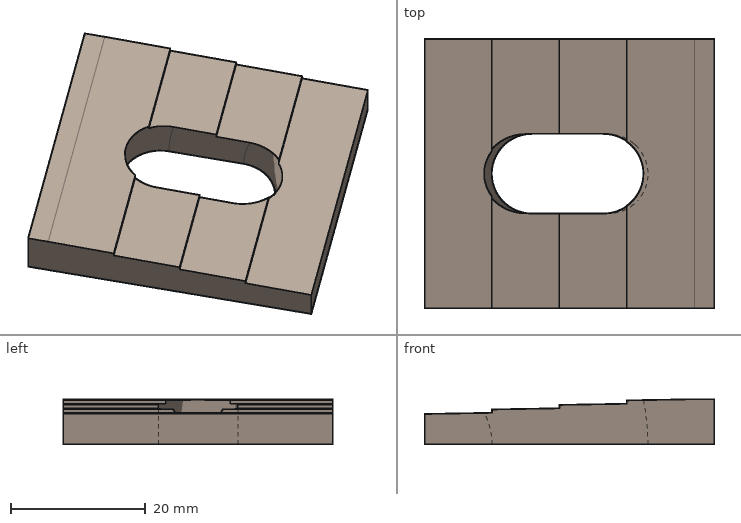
import cadquery as cq

length = 43.0
width = 40.0
height = 6.7

low_end_height = 4.5
tread_count = 4
land_length = 3.0
tread_rise = 0.175
tread_length = (length - land_length) / tread_count
riser_count = tread_count - 1
riser_height = (height - low_end_height - tread_count * tread_rise) / riser_count

slot_start = 9.98
slot_end = 33.1
slot_width = 11.8
swing_angle = 90.0


def make_stepped_plate():
    """Extrude the stepped side profile symmetrically across the width."""
    profile = cq.Workplane("XZ").moveTo(0, 0).lineTo(0, low_end_height)
    tread_start_height = low_end_height
    for tread in range(1, tread_count + 1):
        tread_end_height = tread_start_height + tread_rise
        profile = profile.lineTo(tread * tread_length, tread_end_height)
        if tread < tread_count:
            tread_start_height = tread_end_height + riser_height
            profile = profile.lineTo(tread * tread_length, tread_start_height)
    profile = profile.lineTo(length, height).lineTo(length, 0).close()
    return profile.extrude(width / 2, both=True)


def make_curved_slot():
    """Revolve the slot outline upward so its end walls curve toward the low end."""
    slot_middle = (slot_start + slot_end) / 2
    outline = cq.Workplane("XY").center(slot_middle, 0).slot2D(slot_end - slot_start, slot_width)
    return outline.revolve(swing_angle, (-slot_middle, 0), (-slot_middle, -1))


result = make_stepped_plate().cut(make_curved_slot())